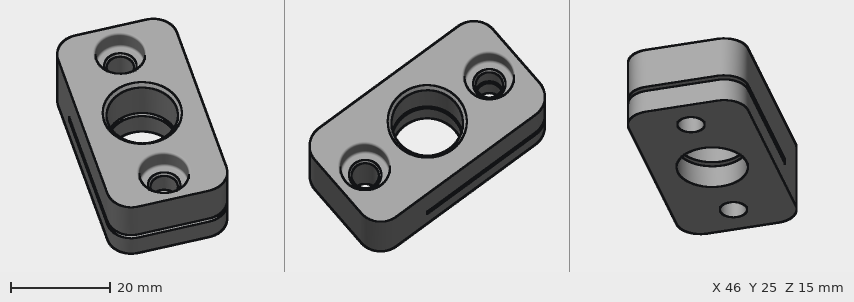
import cadquery as cq

length = 46.0
width = 25.0
height = 15.0
corner_radius = 5.0

slot_bottom = 5.0
slot_height = 1.0
slot_start_x = -10.0

bore_diameter = 14.4
bore_chamfer = 0.8

screw_offset = 16.0
screw_diameter = 5.5
screw_chamfer = 0.5
counterbore_diameter = 10.0
counterbore_depth = 4.0
counterbore_rounding = 0.5


def revolved_cutter(profile, x):
    """Spin a closed half profile about a vertical axis at the given X."""
    return profile.close().revolve(360, (0, 0, 0), (0, 1, 0)).translate((x, 0, 0))


def make_block():
    block = cq.Workplane("XY").box(length, width, height, centered=(True, True, False))
    return block.edges("|Z").fillet(corner_radius)


def make_slot():
    slot_length = length / 2 - slot_start_x
    slot = cq.Workplane("XY").box(slot_length, width, slot_height, centered=(False, True, False))
    return slot.translate((slot_start_x, 0, slot_bottom))


def make_bore():
    radius = bore_diameter / 2
    profile = (
        cq.Workplane("XZ")
        .lineTo(radius, 0)
        .lineTo(radius, height - bore_chamfer)
        .lineTo(radius + bore_chamfer, height)
        .lineTo(0, height)
    )
    return revolved_cutter(profile, 0)


def make_screw_hole(x):
    """Through hole with a chamfered entry and a counterbore with rounded rim and floor edge."""
    hole_radius = screw_diameter / 2
    counterbore_radius = counterbore_diameter / 2
    rounding = counterbore_rounding
    floor = height - counterbore_depth
    profile = (
        cq.Workplane("XZ")
        .lineTo(hole_radius, 0)
        .lineTo(hole_radius, floor - screw_chamfer)
        .lineTo(hole_radius + screw_chamfer, floor)
        .lineTo(counterbore_radius - rounding, floor)
        .tangentArcPoint((counterbore_radius, floor + rounding), relative=False)
        .lineTo(counterbore_radius, height - rounding)
        .tangentArcPoint((counterbore_radius + rounding, height), relative=False)
        .lineTo(0, height)
    )
    return revolved_cutter(profile, x)


result = make_block().cut(make_slot()).cut(make_bore())
for hole_x in (-screw_offset, screw_offset):
    result = result.cut(make_screw_hole(hole_x))